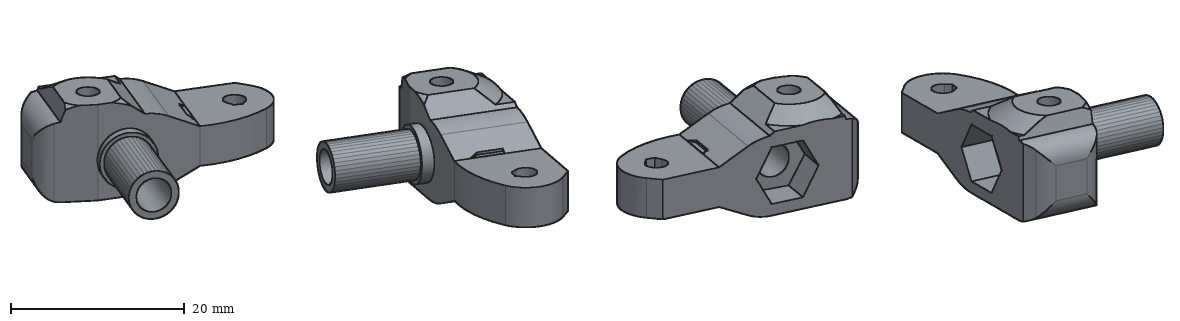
import cadquery as cq
import math


boss_y = -3.48
side_lean = math.radians(4)
tail_y = -10.47
half_height = 5.0
half_arm = 2.5
through_reach = 18.0

head_x, head_y = -3.4, 15.0
head_radius = 4.53
head_left_angle = math.radians(140)
head_right_angle = math.radians(38)
left_corner = (-8.1, 16.38)

arm_shoulder = (3.12, 9.0)
elbow_y = boss_y
tail_lean = math.radians(8.5)
tail_right_radius = 2.3

tail_chamfer_y = -8.52
tail_left_radius = 3.0

ramp_angle = math.radians(25.6)
ramp_radius = 7.0
tail_edge_radius = 2.82

boss_top = 7.0
boss_step = 5.45
cone_top_radius = 4.23
cone_base_radius = 7.0
boss_head_side_top_y = -0.33
boss_head_side_foot_y = 2.3
boss_tail_side_top_y = -7.0
boss_tail_side_foot_y = -7.75

collar_diameter = 7.0
collar_end = 5.0
stem_diameter = 6.0
stem_end = 15.5
stem_flats = 40
bore_diameter = 4.2

nut_across_flats = 7.1
nut_floor_x = -2.95

screw_diameter = 2.7
teardrop_angle = math.radians(53)
teardrop_flat = 1.53

relief_left = -3.1
relief_right = 0.05
relief_right_at_foot = 1.17
relief_depth = 0.72
relief_rise = 0.015


def polar(center_x, center_y, radius, angle):
    return (center_x + radius * math.cos(angle), center_y + radius * math.sin(angle))


def plan_prism():
    """Body seen along Z, extruded past the full height."""
    elbow = (arm_shoulder[0] + (arm_shoulder[1] - elbow_y) * math.tan(side_lean), elbow_y)
    tail_right = (elbow[0] - (elbow_y - tail_y) * math.tan(tail_lean), tail_y)
    chamfer_x = left_corner[0] + (left_corner[1] - tail_chamfer_y) * math.tan(side_lean)
    tail_left = (chamfer_x + tail_chamfer_y - tail_y, tail_y)
    prism = (
        cq.Workplane("XY", origin=(0, 0, -half_height))
        .moveTo(*left_corner)
        .lineTo(*polar(head_x, head_y, head_radius, head_left_angle))
        .threePointArc(
            (head_x, head_y + head_radius),
            polar(head_x, head_y, head_radius, head_right_angle),
        )
        .tangentArcPoint(arm_shoulder, relative=False)
        .lineTo(*elbow)
        .lineTo(*tail_right)
        .lineTo(*tail_left)
        .lineTo(chamfer_x, tail_chamfer_y)
        .close()
        .extrude(half_height + boss_top)
    )
    prism = prism.edges(cq.selectors.NearestToPointSelector((*tail_right, 0))).fillet(tail_right_radius)
    return prism.edges(cq.selectors.NearestToPointSelector((*tail_left, 0))).fillet(tail_left_radius)


def extrude_along_x(outline):
    return outline.extrude(through_reach, both=True)


def side_profile():
    """Arm, ramps and rounded tail seen along X."""
    arc_drop = ramp_radius * (1 - math.cos(ramp_angle))
    ramp_top_z = half_height - arc_drop
    ramp_foot_y = arm_shoulder[1]
    ramp_top_y = ramp_foot_y - (ramp_top_z - half_arm) / math.tan(ramp_angle)
    arc_end_y = ramp_top_y - ramp_radius * math.sin(ramp_angle)
    arc_center_z = half_height - ramp_radius
    mid_y, mid_z = polar(arc_end_y, arc_center_z, ramp_radius, (math.pi - ramp_angle) / 2)
    tip_y = head_y + head_radius
    outline = (
        cq.Workplane("YZ")
        .moveTo(tip_y, half_arm)
        .lineTo(ramp_foot_y, half_arm)
        .lineTo(ramp_top_y, ramp_top_z)
        .threePointArc((mid_y, mid_z), (arc_end_y, half_height))
        .lineTo(tail_y + tail_edge_radius, half_height)
        .tangentArcPoint((tail_y, half_height - tail_edge_radius), relative=False)
        .lineTo(tail_y, tail_edge_radius - half_height)
        .tangentArcPoint((tail_y + tail_edge_radius, -half_height), relative=False)
        .lineTo(arc_end_y, -half_height)
        .threePointArc((mid_y, -mid_z), (ramp_top_y, -ramp_top_z))
        .lineTo(ramp_foot_y, -half_arm)
        .lineTo(tip_y, -half_arm)
        .close()
    )
    return extrude_along_x(outline)


def boss():
    """Cone on a low land, trimmed by a sloping face on the head and tail sides."""
    wedge = extrude_along_x(
        cq.Workplane("YZ").polyline([
            (boss_head_side_foot_y, half_height),
            (boss_head_side_top_y, boss_top),
            (boss_tail_side_top_y, boss_top),
            (boss_tail_side_foot_y, half_height),
            (boss_tail_side_foot_y, 0),
            (boss_head_side_foot_y, 0),
        ]).close()
    )
    land = cq.Workplane("XY").box(2 * through_reach, 2 * through_reach, boss_step, centered=(True, True, False))
    cone = (
        cq.Workplane("XY", origin=(0, boss_y, boss_step))
        .circle(cone_base_radius)
        .workplane(offset=boss_top - boss_step)
        .circle(cone_top_radius)
        .loft()
    )
    return wedge.intersect(land.union(cone))


def stem():
    """Collar and many-sided stem."""
    collar = cq.Workplane("YZ").circle(collar_diameter / 2).extrude(collar_end)
    grip = (
        cq.Workplane("YZ")
        .transformed(rotate=(0, 0, 180 / stem_flats))
        .polygon(stem_flats, stem_diameter)
        .extrude(stem_end)
    )
    return collar.union(grip)


def bore_and_nut_pocket():
    bore = extrude_along_x(cq.Workplane("YZ").circle(bore_diameter / 2))
    across_corners = nut_across_flats / math.cos(math.pi / 6)
    pocket = (
        cq.Workplane("YZ", origin=(nut_floor_x, 0, 0))
        .polygon(6, across_corners)
        .extrude(-through_reach)
    )
    return bore.union(pocket)


def boss_screw_hole():
    return (
        cq.Workplane("XY", origin=(0, boss_y, -half_height))
        .circle(screw_diameter / 2)
        .extrude(half_height + boss_top)
    )


def head_teardrop_hole():
    """Round hole drawn out toward +X and ended by a flat."""
    radius = screw_diameter / 2
    tangent_x, tangent_y = polar(0, 0, radius, teardrop_angle)
    flat_y = (radius - teardrop_flat * math.cos(teardrop_angle)) / math.sin(teardrop_angle)
    return (
        cq.Workplane("XY", origin=(head_x, head_y, -half_arm))
        .moveTo(tangent_x, tangent_y)
        .threePointArc((-radius, 0), (tangent_x, -tangent_y))
        .lineTo(teardrop_flat, -flat_y)
        .lineTo(teardrop_flat, flat_y)
        .close()
        .extrude(2 * half_arm)
    )


def ramp_relief():
    foot_y = arm_shoulder[1]
    return (
        cq.Workplane("XY", origin=(0, 0, half_arm + relief_rise))
        .polyline([
            (relief_left, foot_y),
            (relief_left, foot_y - relief_depth),
            (relief_right, foot_y - relief_depth),
            (relief_right_at_foot, foot_y),
        ])
        .close()
        .extrude(half_height - half_arm)
    )


body = plan_prism().intersect(side_profile().union(boss()))
result = (
    body.union(stem())
    .cut(bore_and_nut_pocket())
    .cut(boss_screw_hole())
    .cut(head_teardrop_hole())
    .cut(ramp_relief())
)